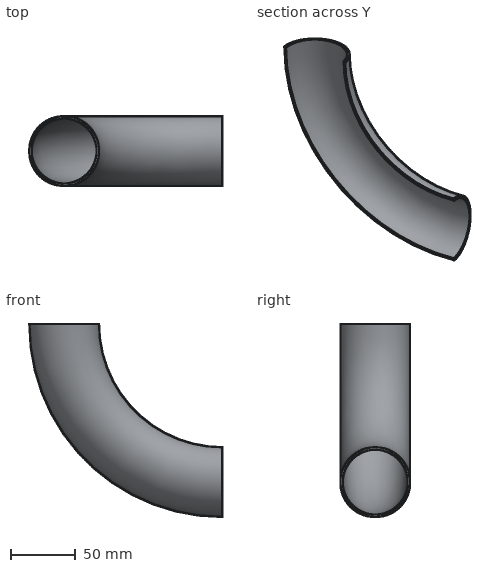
import cadquery as cq

outer_diameter = 54.0
wall_thickness = 2.0
bend_radius = 122.0
bend_angle = 90.0

outer_radius = outer_diameter / 2
inner_radius = outer_radius - wall_thickness


def pipe_elbow():
    """Sweep the annular pipe section about the bend axis, which is parallel to Y.

    The upper mouth is centred on the origin and faces +Z; the other mouth faces +X.
    """
    section = cq.Workplane("XY").circle(outer_radius).circle(inner_radius)
    return section.revolve(bend_angle, (bend_radius, 0, 0), (bend_radius, -1, 0))


result = pipe_elbow()